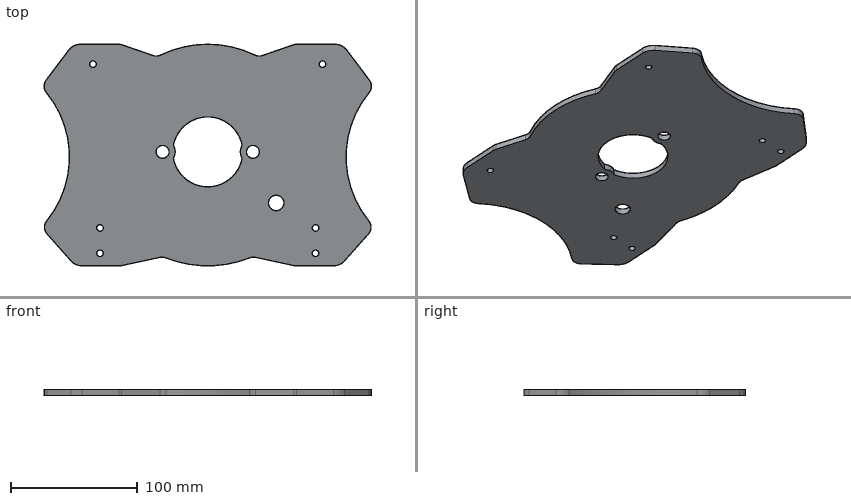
import cadquery as cq
import math

THICKNESS = 5.0
TOP_EDGE_Y = 85.0
BOTTOM_EDGE_Y = -90.0

BEND_X = 69.0
UPPER_VALLEY_X = 40.0
LOWER_VALLEY_X = 35.3
UPPER_CORNER_X = 106.2
LOWER_CORNER_X = 104.4
UPPER_FLANK_ANGLE = 53.1
LOWER_FLANK_ANGLE = 48.4

SCALLOP_RADIUS = 80.0
SCALLOP_X = 189.2
SCALLOP_Y = -4.0

TIP_RADIUS = 8.0
CORNER_RADIUS = 12.0
BEND_RADIUS = 8.0
VALLEY_RADIUS = 8.0

BORE_DIAMETER = 55.0
SIDE_HOLE_X = 35.6
SIDE_HOLE_DIAMETER = 10.0
SIDE_BOSS_DIAMETER = 20.0

CABLE_HOLE_CENTRE = (54.0, -40.3)
CABLE_HOLE_DIAMETER = 12.0
SCREW_HOLE_DIAMETER = 5.0
SCREW_HOLE_POSITIONS = [(90.5, 69.2), (85.0, -60.0), (85.0, -80.0)]


def bulge_y(radius, x):
    """Height of a bulge arc centred on the origin at the given x."""
    return math.sqrt(radius**2 - x**2)


def scallop_meeting_point(corner_x, corner_y, flank_angle):
    """Point where the slanted end running outward from a corner meets the scallop."""
    direction_x = math.cos(math.radians(flank_angle))
    direction_y = -math.copysign(math.sin(math.radians(flank_angle)), corner_y)
    offset_x = corner_x - SCALLOP_X
    offset_y = corner_y - SCALLOP_Y
    along = offset_x * direction_x + offset_y * direction_y
    gap = offset_x**2 + offset_y**2 - SCALLOP_RADIUS**2
    distance = -along - math.sqrt(along**2 - gap)
    return (corner_x + distance * direction_x, corner_y + distance * direction_y)


def mirrored(point):
    return (-point[0], point[1])


UPPER_VALLEY = (UPPER_VALLEY_X, bulge_y(TOP_EDGE_Y, UPPER_VALLEY_X))
LOWER_VALLEY = (LOWER_VALLEY_X, -bulge_y(BOTTOM_EDGE_Y, LOWER_VALLEY_X))
UPPER_BEND = (BEND_X, TOP_EDGE_Y)
LOWER_BEND = (BEND_X, BOTTOM_EDGE_Y)
UPPER_CORNER = (UPPER_CORNER_X, TOP_EDGE_Y)
LOWER_CORNER = (LOWER_CORNER_X, BOTTOM_EDGE_Y)
UPPER_TIP = scallop_meeting_point(*UPPER_CORNER, UPPER_FLANK_ANGLE)
LOWER_TIP = scallop_meeting_point(*LOWER_CORNER, LOWER_FLANK_ANGLE)
SCALLOP_MIDDLE = (SCALLOP_X - SCALLOP_RADIUS, SCALLOP_Y)


def sharp_plate():
    return (
        cq.Workplane("XY")
        .moveTo(*mirrored(UPPER_VALLEY))
        .threePointArc((0, TOP_EDGE_Y), UPPER_VALLEY)
        .lineTo(*UPPER_BEND)
        .lineTo(*UPPER_CORNER)
        .lineTo(*UPPER_TIP)
        .threePointArc(SCALLOP_MIDDLE, LOWER_TIP)
        .lineTo(*LOWER_CORNER)
        .lineTo(*LOWER_BEND)
        .lineTo(*LOWER_VALLEY)
        .threePointArc((0, BOTTOM_EDGE_Y), mirrored(LOWER_VALLEY))
        .lineTo(*mirrored(LOWER_BEND))
        .lineTo(*mirrored(LOWER_CORNER))
        .lineTo(*mirrored(LOWER_TIP))
        .threePointArc(mirrored(SCALLOP_MIDDLE), mirrored(UPPER_TIP))
        .lineTo(*mirrored(UPPER_CORNER))
        .lineTo(*mirrored(UPPER_BEND))
        .close()
        .extrude(THICKNESS)
    )


def round_corners(plate, points, radius):
    """Fillet the upright edges at the given +X points and at their mirror images."""
    for point in points:
        for x, y in (point, mirrored(point)):
            edge = plate.edges("|Z").edges(cq.NearestToPointSelector((x, y, THICKNESS / 2)))
            plate = edge.fillet(radius)
    return plate


def rounded_plate():
    plate = sharp_plate()
    plate = round_corners(plate, [UPPER_TIP, LOWER_TIP], TIP_RADIUS)
    plate = round_corners(plate, [UPPER_CORNER, LOWER_CORNER], CORNER_RADIUS)
    plate = round_corners(plate, [UPPER_BEND, LOWER_BEND], BEND_RADIUS)
    return round_corners(plate, [UPPER_VALLEY, LOWER_VALLEY], VALLEY_RADIUS)


def cylinders(points, diameter):
    return cq.Workplane("XY").pushPoints(points).circle(diameter / 2).extrude(THICKNESS)


def main_bore():
    """Round bore with a shallow bulge left on each side around the side holes."""
    bosses = cylinders([(-SIDE_HOLE_X, 0), (SIDE_HOLE_X, 0)], SIDE_BOSS_DIAMETER)
    return cylinders([(0, 0)], BORE_DIAMETER).cut(bosses)


def small_holes():
    side_holes = cylinders([(-SIDE_HOLE_X, 0), (SIDE_HOLE_X, 0)], SIDE_HOLE_DIAMETER)
    cable_hole = cylinders([CABLE_HOLE_CENTRE], CABLE_HOLE_DIAMETER)
    screw_points = SCREW_HOLE_POSITIONS + [mirrored(point) for point in SCREW_HOLE_POSITIONS]
    screw_holes = cylinders(screw_points, SCREW_HOLE_DIAMETER)
    return [side_holes, cable_hole, screw_holes]


result = rounded_plate().cut(main_bore())
for holes in small_holes():
    result = result.cut(holes)